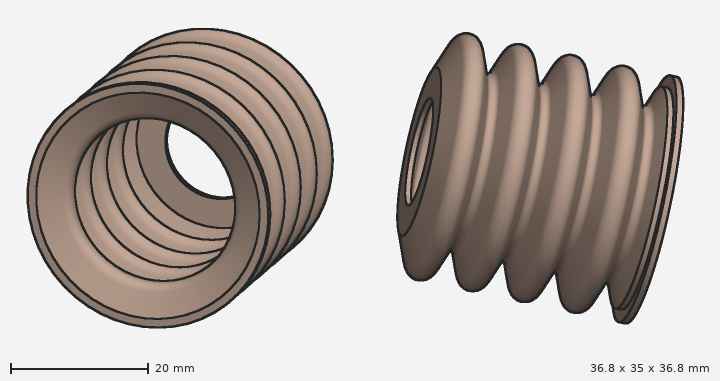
import cadquery as cq
import math

length = 35.0
wall = 0.9
convolutions = 4

crest_radius = 18.4
root_radius = 13.32
pitch = 7.85
first_root_y = 3.9
tight_bend = 0.9
wide_bend = tight_bend + wall

flange_radius = crest_radius
flange_thickness = 1.03
collar_radius = 16.55
mouth_radius = 17.08
throat_radius = root_radius - wall

plate_thickness = wall
hole_radius = 8.0


def flank_angle():
    """Angle from the axis of the straight flank tangent to a root bend and a crest bend."""
    bend_sum = tight_bend + wide_bend
    centre_rise = crest_radius - root_radius - bend_sum
    centre_run = pitch / 2
    centre_distance = math.hypot(centre_run, centre_rise)
    return math.atan2(centre_rise, centre_run) + math.asin(bend_sum / centre_distance)


FLANK_ANGLE = flank_angle()


def flank_run(start_radius, end_radius):
    """Axial distance over which a flank passes between two radii."""
    return abs(end_radius - start_radius) / math.tan(FLANK_ANGLE)


def narrowed_radius(start, y):
    """Radius at y of a flank that narrows along +Y from the point start."""
    start_radius, start_y = start
    return start_radius - (y - start_y) * math.tan(FLANK_ANGLE)


def bend(apex_radius, y, bend_radius, side):
    """Start, apex and end of a bend; side is +1 for a root and -1 for a crest."""
    half_width = bend_radius * math.sin(FLANK_ANGLE)
    tangent_radius = apex_radius + side * bend_radius * (1 - math.cos(FLANK_ANGLE))
    return (tangent_radius, y - half_width), (apex_radius, y), (tangent_radius, y + half_width)


def skin_bends(root, crest, root_bend, crest_bend):
    """All bends of one skin, in order along +Y."""
    bends = []
    for index in range(convolutions):
        root_y = first_root_y + index * pitch
        bends.append(bend(root, root_y, root_bend, 1))
        bends.append(bend(crest, root_y + pitch / 2, crest_bend, -1))
    return bends


def draw_bends(outline, bends):
    for start, apex, end in bends:
        outline = outline.lineTo(*start).threePointArc(apex, end)
    return outline


outer_bends = skin_bends(root_radius, crest_radius, tight_bend, wide_bend)
inner_bends = skin_bends(throat_radius, crest_radius - wall, wide_bend, tight_bend)

first_outer_radius, first_outer_y = outer_bends[0][0]
collar_y = first_outer_y - flank_run(first_outer_radius, collar_radius)
plate_y = length - plate_thickness
plate_outer_radius = narrowed_radius(outer_bends[-1][-1], length)
plate_inner_radius = narrowed_radius(inner_bends[-1][-1], plate_y)

_, first_inner_root, first_inner_end = inner_bends[0]
mouth_tangent_radius = first_inner_end[0]
mouth_bend_y = flank_run(mouth_radius, mouth_tangent_radius) + wide_bend * math.sin(FLANK_ANGLE)
mouth_bend_start, mouth_bend_apex, _ = bend(throat_radius, mouth_bend_y, wide_bend, 1)
half_turn = FLANK_ANGLE / 2


def half_bend_middle(y, direction):
    """Middle of the half bend between the throat and a flank lying towards direction along Y."""
    return (
        throat_radius + wide_bend * (1 - math.cos(half_turn)),
        y + direction * wide_bend * math.sin(half_turn),
    )


profile = (
    cq.Workplane("XY")
    .moveTo(mouth_radius, 0)
    .lineTo(flange_radius, 0)
    .lineTo(flange_radius, flange_thickness)
    .lineTo(collar_radius, flange_thickness)
    .lineTo(collar_radius, collar_y)
)
profile = draw_bends(profile, outer_bends)
profile = (
    profile
    .lineTo(plate_outer_radius, length)
    .lineTo(hole_radius, length)
    .lineTo(hole_radius, plate_y)
    .lineTo(plate_inner_radius, plate_y)
)
profile = draw_bends(profile, [points[::-1] for points in inner_bends[:0:-1]])
profile = (
    profile
    .lineTo(*first_inner_end)
    .threePointArc(half_bend_middle(first_root_y, 1), first_inner_root)
    .lineTo(*mouth_bend_apex)
    .threePointArc(half_bend_middle(mouth_bend_y, -1), mouth_bend_start)
    .close()
)

result = profile.revolve(360, (0, 0, 0), (0, 1, 0))